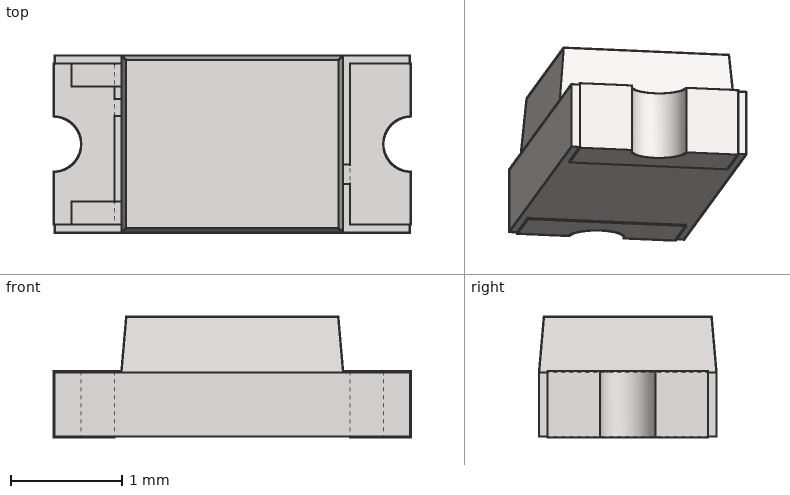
import cadquery as cq


overall_length = 3.22
overall_height = 1.09
film = 0.01

substrate_length = overall_length - 2 * film
substrate_width = 1.6
substrate_height = 0.58

lens_length = 2.0
lens_width = substrate_width
lens_height = overall_height - film - substrate_height
lens_draft = 5.0

terminal_length = 0.55
terminal_width = 1.45
terminal_inner_x = overall_length / 2 - terminal_length
metal_top = substrate_height + film
notch_radius = 0.248

finger_length = terminal_inner_x - lens_length / 2
left_finger_width = 0.155
left_finger_y = 0.332
right_finger_width = 0.175
right_finger_y = -0.27

mark_start_x = -1.45
mark_length = -lens_length / 2 - mark_start_x
mark_width = 0.205
mark_y = (terminal_width - mark_width) / 2


def block(length, width, height, center_x, center_y, bottom_z):
    """Box centred on a point in plan and standing on bottom_z."""
    return (
        cq.Workplane("XY", origin=(center_x, center_y, bottom_z))
        .box(length, width, height, centered=(True, True, False))
    )


def terminal_block(side):
    """Plain envelope of one terminal; side is -1 for left, 1 for right."""
    center_x = side * (overall_length - terminal_length) / 2
    return block(terminal_length, terminal_width, metal_top + film, center_x, 0, -film)


def make_substrate():
    """Bar with a recess at each end that the terminal fills."""
    bar = block(substrate_length, substrate_width, substrate_height, 0, 0, 0)
    for side in (-1, 1):
        bar = bar.cut(terminal_block(side))
    return bar


def make_lens():
    """Tapered block standing on the substrate."""
    return (
        cq.Workplane("XY", origin=(0, 0, substrate_height))
        .rect(lens_length, lens_width)
        .extrude(lens_height, taper=lens_draft)
    )


def make_mark(side):
    """Thin polarity mark from the left terminal to the lens; side is -1 or 1 along Y."""
    center_x = mark_start_x + mark_length / 2
    return block(mark_length, mark_width, film, center_x, side * mark_y, substrate_height)


def make_terminal(side, finger_width, finger_y):
    """End block with a half-round notch in its outer face and a finger to the lens."""
    notch = (
        cq.Workplane("XY", origin=(side * overall_length / 2, 0, -film))
        .circle(notch_radius)
        .extrude(metal_top + film)
    )
    finger_x = side * (terminal_inner_x - finger_length / 2)
    finger = block(finger_length, finger_width, film, finger_x, finger_y, substrate_height)
    return terminal_block(side).cut(notch).union(finger)


substrate = make_substrate()
lens = make_lens()
marks = [make_mark(side) for side in (-1, 1)]

left_terminal = make_terminal(-1, left_finger_width, left_finger_y)
for mark in marks:
    left_terminal = left_terminal.cut(mark)
right_terminal = make_terminal(1, right_finger_width, right_finger_y)

result = cq.Compound.makeCompound([
    substrate.val(),
    lens.val(),
    left_terminal.val(),
    right_terminal.val(),
    *[mark.val() for mark in marks],
])